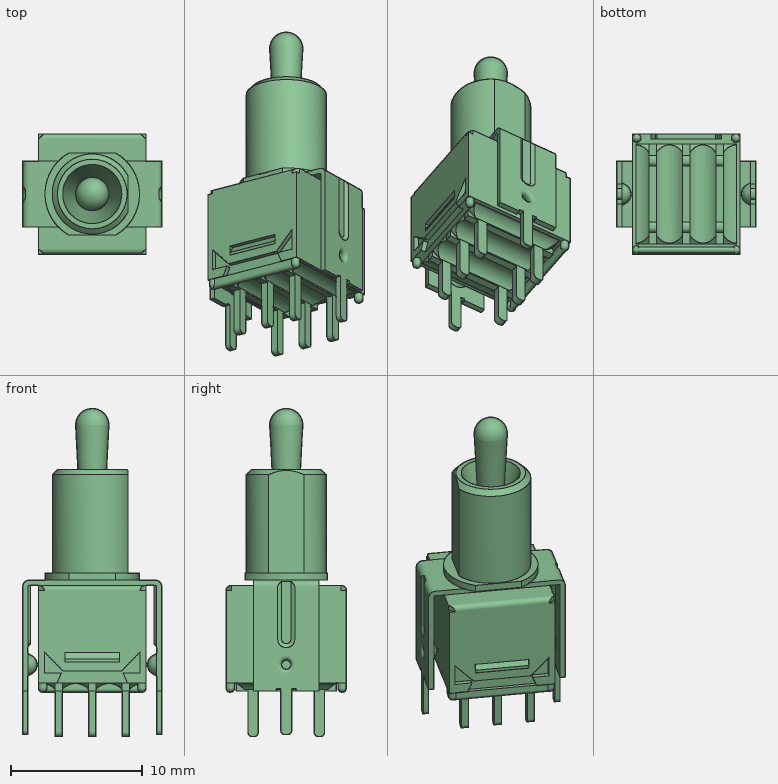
import cadquery as cq
import math

sheet = 0.4

pin_pitch = 2.55
pin_row_y = 2.51
pin_thick = 0.55
pin_width = 0.8
pin_tip_radius = 0.32

bar_half_y = 3.8
bar_bottom = 3.45
seal_top_half_y = 3.78
seal_bottom_half_y = 2.99
seal_arch_radius = 1.32
seal_arch_crown = 4.03

case_half_x = 4.08
case_depth = 9.13
case_half_y = case_depth / 2
case_bottom = 4.08
case_top = 11.47
core_half_y = case_half_y - sheet
frame_width = 0.45
lip_height = 0.75
lip_gap_top_half = 2.35
lip_gap_bottom_half = 2.66

panel_half_x = case_half_x - frame_width
panel_shoulder_z = 6.42
panel_foot_half_x = 2.22
panel_foot_z = 4.98
cover_bend_radius = sheet

slot_half_x = 2.07
slot_top = 6.4
slot_bend_z = 5.87
slot_bottom = 5.65
slot_shallow = 0.02

foot_diameter = 0.65
foot_end = 3.35
rail_width = 0.47

bracket_half_x = 5.28
bracket_width = 5.0
bracket_half_y = bracket_width / 2
bracket_top = case_top + sheet
bracket_bottom = 3.45
bracket_bend_radius = 0.5
tail_width = 0.85
tail_bottom = 0.15
tail_notch_half_y = 0.75
tail_notch_height = 0.17

groove_half_y = 0.65
groove_wall_half_y = 0.5
groove_floor_half_y = 0.35
groove_lip_depth = 0.07
groove_depth = 0.2
groove_end_z = 6.75

dimple_z = 5.45
dimple_mouth_radius = 0.67
dimple_floor_diameter = 0.7
dimple_depth = 0.6
dimple_base_radius = 0.87
dimple_foot_height = 0.2
dimple_dome_radius = 0.75
dimple_height = 0.7
dimple_nub_radius = 0.12

washer_radius = 3.58
washer_half_y = 3.1
washer_thick = 0.52
bushing_radius = 3.04
bushing_flat_x = 2.71
bushing_top = 20.25
bushing_chamfer = 0.4
bore_radius = 2.25
bore_floor_z = 15.43
lever_top = 24.9
lever_radius = 1.27
lever_root_radius = 0.85


def box(x0, x1, y0, y1, z0, z1):
    return cq.Workplane("XY").box(x1 - x0, y1 - y0, z1 - z0, centered=False).translate((x0, y0, z0))


def prism_along_y(points, y0, y1):
    """Extrude an XZ outline from y0 to y1."""
    return cq.Workplane("XZ", origin=(0, y0, 0)).polyline(points).close().extrude(y0 - y1)


def mirrored(half_outline):
    """Complete an XZ outline, listed from top to bottom, across the X = 0 plane."""
    return half_outline + [(-x, z) for x, z in reversed(half_outline)]


def both_sides(body, plane):
    """Join a body to its mirror image, keeping the seams between flush faces."""
    return body.union(body.mirror(plane), clean=False)


def make_panel():
    """Front cover panel with its clipped lower corners and pressed slot."""
    outline = mirrored([
        (panel_half_x, case_top - cover_bend_radius),
        (panel_half_x, panel_shoulder_z),
        (panel_foot_half_x, panel_foot_z),
    ])
    panel = prism_along_y(outline, -case_half_y, -core_half_y)
    slot = (
        cq.Workplane("YZ", origin=(-slot_half_x, 0, 0))
        .moveTo(-case_half_y, slot_top)
        .lineTo(-core_half_y, slot_top)
        .lineTo(-case_half_y + slot_shallow, slot_bend_z)
        .lineTo(-case_half_y + slot_shallow, slot_bottom)
        .lineTo(-case_half_y, slot_bottom)
        .close()
        .extrude(2 * slot_half_x)
    )
    return panel.cut(slot)


def make_recess():
    """Space in the front of the case: inside its raised border and through the gap in the lip."""
    lip_top = case_bottom + lip_height
    recess = box(-panel_half_x, panel_half_x, -case_half_y, -core_half_y,
                 lip_top, case_top - cover_bend_radius)
    gap = mirrored([(lip_gap_top_half, lip_top), (lip_gap_bottom_half, case_bottom)])
    return recess.union(prism_along_y(gap, -case_half_y, -core_half_y))


def make_cover_top():
    """Cover sheet over the case: rounded along front and rear, mitred at the corners."""
    bend_z = case_top - cover_bend_radius
    rounded = (
        cq.Workplane("YZ", origin=(-case_half_x, 0, 0))
        .moveTo(-case_half_y, bend_z)
        .radiusArc((-core_half_y, case_top), cover_bend_radius)
        .lineTo(core_half_y, case_top)
        .radiusArc((case_half_y, bend_z), cover_bend_radius)
        .close()
        .extrude(2 * case_half_x)
    )
    outline = []
    for sx, sy in [(1, 1), (-1, 1), (-1, -1), (1, -1)]:
        corner = [(sx * case_half_x, sy * core_half_y), (sx * panel_half_x, sy * case_half_y)]
        outline += corner if sx == sy else corner[::-1]
    mitred = cq.Workplane("XY", origin=(0, 0, bend_z)).polyline(outline).close().extrude(sheet)
    return rounded.intersect(mitred)


def make_case():
    case = box(-case_half_x, case_half_x, -case_half_y, case_half_y,
               case_bottom, case_top - cover_bend_radius)
    case = case.cut(both_sides(make_recess(), "XZ"))
    case = case.union(both_sides(make_panel(), "XZ"), clean=False)
    return case.union(make_cover_top(), clean=False)


def make_feet():
    foot_radius = foot_diameter / 2
    inset_x = case_half_x - foot_radius
    inset_y = case_half_y - foot_radius
    corners = [(sx * inset_x, sy * inset_y) for sx in (-1, 1) for sy in (-1, 1)]
    round_z = foot_end + foot_radius
    shafts = cq.Workplane("XY", origin=(0, 0, round_z)).pushPoints(corners)
    feet = shafts.circle(foot_radius).extrude(case_bottom - round_z)
    ends = cq.Workplane("XY", origin=(0, 0, round_z)).pushPoints(corners).sphere(foot_radius)
    rail = box(-inset_x, inset_x, inset_y - rail_width / 2, inset_y + rail_width / 2,
               foot_end + rail_width / 2, case_bottom)
    rail_round = (
        cq.Workplane("YZ", origin=(-inset_x, inset_y, foot_end + rail_width / 2))
        .circle(rail_width / 2)
        .extrude(2 * inset_x)
    )
    return feet.union(ends).union(rail).union(rail_round, clean=False)


def make_terminals():
    """Three contact bars, each with two round-tipped pins."""
    half = pin_thick / 2
    bar = box(-half, half, -bar_half_y, bar_half_y, bar_bottom, case_bottom)
    pin = box(-half, half, -pin_width / 2, pin_width / 2, 0, bar_bottom)
    pin = pin.edges("|X and <Z").fillet(pin_tip_radius)
    for y in (-pin_row_y, pin_row_y):
        bar = bar.union(pin.translate((0, y, 0)))
    terminals = bar
    for x in (-pin_pitch, pin_pitch):
        terminals = terminals.union(bar.translate((x, 0, 0)))
    return terminals


def make_seal():
    """Sealing compound under the case, arched between the contact bars."""
    half_x = 1.5 * pin_pitch
    seal = (
        cq.Workplane("YZ", origin=(-half_x, 0, 0))
        .polyline([
            (-seal_top_half_y, case_bottom),
            (seal_top_half_y, case_bottom),
            (seal_bottom_half_y, bar_bottom),
            (-seal_bottom_half_y, bar_bottom),
        ])
        .close()
        .extrude(2 * half_x)
    )
    for step in (-1.5, -0.5, 0.5, 1.5):
        arch = (
            cq.Workplane("XZ", origin=(step * pin_pitch, 0, seal_arch_crown - seal_arch_radius))
            .circle(seal_arch_radius)
            .extrude(bar_half_y, both=True)
        )
        seal = seal.cut(arch)
    return seal


def groove_body(outer_x):
    """Round-ended groove shape with stepped slopes, running inward (+X) from outer_x."""
    top = bracket_top + groove_half_y
    middle_z = (top + groove_end_z) / 2
    steps = [(0, groove_half_y), (groove_lip_depth, groove_wall_half_y), (groove_depth, groove_floor_half_y)]
    groove = cq.Workplane("YZ")
    for (depth, half_y), (next_depth, next_half_y) in zip(steps, steps[1:]):
        mouth_length = top - groove_end_z - 2 * (groove_half_y - half_y)
        floor_length = top - groove_end_z - 2 * (groove_half_y - next_half_y)
        slope = (
            cq.Workplane("YZ", origin=(outer_x + depth, 0, middle_z))
            .slot2D(mouth_length, 2 * half_y, 90)
            .workplane(offset=next_depth - depth)
            .slot2D(floor_length, 2 * next_half_y, 90)
            .loft(ruled=True)
        )
        groove = groove.add(slope)
    return groove.combine()


def make_dimple():
    """Domed boss inside the left leg, with a nub touching the case, and its hollow."""
    inner_x = -bracket_half_x + sheet
    tip_x = inner_x + dimple_height
    foot_x = inner_x + dimple_foot_height
    dome_height = tip_x - foot_x
    sphere_radius = (dimple_dome_radius**2 + dome_height**2) / (2 * dome_height)
    nub_root_x = tip_x - sphere_radius + math.sqrt(sphere_radius**2 - dimple_nub_radius**2)
    boss = (
        cq.Workplane("XY", origin=(0, 0, dimple_z))
        .moveTo(inner_x, 0)
        .lineTo(inner_x, dimple_base_radius)
        .lineTo(foot_x, dimple_dome_radius)
        .radiusArc((nub_root_x, dimple_nub_radius), sphere_radius)
        .lineTo(-case_half_x, dimple_nub_radius)
        .lineTo(-case_half_x, 0)
        .close()
        .revolve(360, (0, 0, 0), (1, 0, 0))
    )
    floor_radius = dimple_floor_diameter / 2
    rim_radius = dimple_mouth_radius - floor_radius
    hollow = (
        cq.Workplane("XY", origin=(0, 0, dimple_z))
        .moveTo(-bracket_half_x, 0)
        .lineTo(-bracket_half_x, dimple_mouth_radius)
        .radiusArc((-bracket_half_x + rim_radius, floor_radius), -rim_radius)
        .lineTo(-bracket_half_x + dimple_depth, floor_radius)
        .lineTo(-bracket_half_x + dimple_depth, 0)
        .close()
        .revolve(360, (0, 0, 0), (1, 0, 0))
    )
    return boss, hollow


def make_bracket():
    inner_x = bracket_half_x - sheet
    bracket = box(-bracket_half_x, bracket_half_x, -bracket_half_y, bracket_half_y,
                  bracket_bottom, bracket_top)
    bracket = bracket.edges(">Z and |Y").fillet(bracket_bend_radius)
    opening = box(-inner_x, inner_x, -bracket_half_y, bracket_half_y, bracket_bottom, case_top)
    bracket = bracket.cut(opening.edges(">Z and |Y").fillet(bracket_bend_radius - sheet))

    left_groove = groove_body(-bracket_half_x)
    left_rib = groove_body(-inner_x)
    left_rib = left_rib.intersect(opening)
    left_boss, left_hollow = make_dimple()

    notch_top = bracket_bottom + tail_notch_height
    left_notch = box(-bracket_half_x, -inner_x, -tail_notch_half_y, tail_notch_half_y,
                     bracket_bottom, notch_top)
    left_tail = box(-bracket_half_x, -inner_x, -tail_width / 2, tail_width / 2, tail_bottom, notch_top)
    left_tail = left_tail.edges("|X and <Z").fillet(pin_tip_radius)

    for addition in (left_rib, left_boss):
        bracket = bracket.union(both_sides(addition, "YZ"))
    for removal in (left_groove, left_hollow, left_notch):
        bracket = bracket.cut(both_sides(removal, "YZ"))
    return bracket.union(both_sides(left_tail, "YZ"))


def make_bushing():
    """Washer with two flats below a bushing with one flat and a conical bore."""
    washer_top = bracket_top + washer_thick
    washer = cq.Workplane("XY", origin=(0, 0, bracket_top)).circle(washer_radius).extrude(washer_thick)
    washer = washer.intersect(box(-washer_radius, washer_radius, -washer_half_y, washer_half_y,
                                  bracket_top, washer_top))
    barrel = (
        cq.Workplane("XY", origin=(0, 0, washer_top))
        .circle(bushing_radius)
        .extrude(bushing_top - washer_top)
        .faces(">Z").chamfer(bushing_chamfer)
    )
    barrel = barrel.intersect(box(-bushing_radius, bushing_flat_x, -bushing_radius, bushing_radius,
                                  washer_top, bushing_top))
    bore = (
        cq.Workplane("XY", origin=(0, 0, bushing_top))
        .circle(bore_radius)
        .workplane(offset=bore_floor_z - bushing_top)
        .circle(lever_root_radius)
        .loft()
    )
    return washer.union(barrel.cut(bore))


def make_lever():
    """Tapered lever with a round tip, rooted in the bottom of the bore."""
    tip_z = lever_top - lever_radius
    return (
        cq.Workplane("XZ")
        .moveTo(0, bore_floor_z)
        .lineTo(lever_root_radius, bore_floor_z)
        .lineTo(lever_radius, tip_z)
        .radiusArc((0, lever_top), -lever_radius)
        .close()
        .revolve(360, (0, 0, 0), (0, 1, 0))
    )


result = make_case()
for component in (make_feet(), make_seal(), make_terminals(), make_bracket(), make_bushing(), make_lever()):
    result = result.union(component, clean=False)